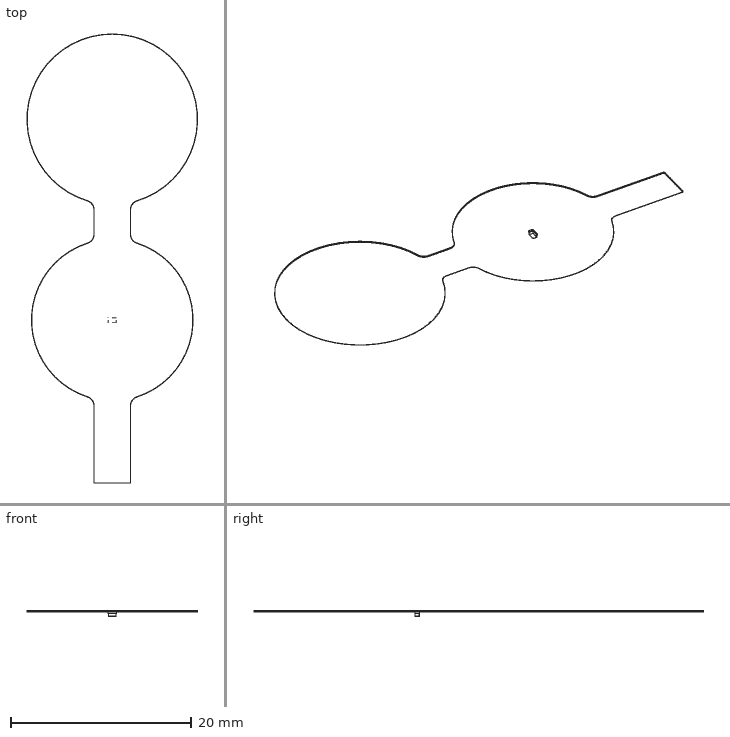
import cadquery as cq

plate_length = 49.85
plate_thickness = 0.15
large_disc_radius = 9.45
small_disc_radius = 8.95
disc_spacing = 22.25
strip_width = 4.1
neck_fillet = 1.0

base_length = 1.0
cap_length = 0.85
base_width = 0.55
cap_width = 0.5
component_height = 0.5
base_height = 0.175
cap_height = component_height - base_height

large_disc_y = disc_spacing
plate_top_y = large_disc_y + large_disc_radius
tail_end_y = plate_top_y - plate_length
strip_length = large_disc_y - tail_end_y


def make_disc(radius, center_y):
    """Flat disc with its underside at Z = 0."""
    return cq.Workplane("XY").center(0, center_y).circle(radius).extrude(plate_thickness)


def make_strip():
    """Flat strip from the tail end to the centre of the large disc."""
    return (
        cq.Workplane("XY")
        .center(0, tail_end_y + strip_length / 2)
        .rect(strip_width, strip_length)
        .extrude(plate_thickness)
    )


def neck_corners():
    """Selector for the upright edges where the discs meet the strip."""
    reach = strip_width
    return cq.selectors.BoxSelector(
        (-reach, -small_disc_radius, -plate_thickness),
        (reach, large_disc_y, 2 * plate_thickness),
    )


def make_plate():
    """Two discs and the strip as one sheet, with rounded necks."""
    sheet = (
        make_strip()
        .union(make_disc(small_disc_radius, 0))
        .union(make_disc(large_disc_radius, large_disc_y))
    )
    return sheet.edges("|Z").edges(neck_corners()).fillet(neck_fillet)


def make_component():
    """Stepped block hanging from the underside, centred below the small disc."""
    base = cq.Workplane("XY").rect(base_length, base_width).extrude(-base_height)
    return base.faces("<Z").workplane().rect(cap_length, cap_width).extrude(cap_height)


plate = make_plate()
component = make_component()

result = cq.Compound.makeCompound([plate.val(), component.val()])